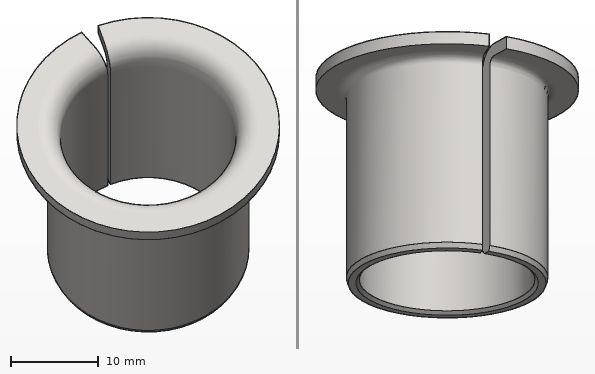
import cadquery as cq
import math

flange_radius = 15.0
height = 25.0
bore_radius = 10.0
wall = 1.5
bend_inner_radius = 1.0
outer_chamfer_height = 0.63
outer_chamfer_angle = 20.0
inner_chamfer = 0.4
slit_half_angle = 10.0
slit_half_gap = 0.18

tube_radius = bore_radius + wall
bend_outer_radius = bend_inner_radius + wall
bend_center_r = bore_radius + bend_outer_radius
bend_center_z = height - bend_outer_radius
outer_chamfer_width = outer_chamfer_height * math.tan(math.radians(outer_chamfer_angle))


def bend_midpoint(radius):
    """Middle of a quarter bend of the given radius about the common bend center."""
    offset = radius * math.sqrt(0.5)
    return (bend_center_r - offset, bend_center_z + offset)


def make_bushing():
    """Revolve the bent sheet section, starting inside the slit; both bend arcs share one center."""
    return (
        cq.Workplane("XZ")
        .moveTo(bore_radius + inner_chamfer, 0)
        .lineTo(tube_radius - outer_chamfer_width, 0)
        .lineTo(tube_radius, outer_chamfer_height)
        .lineTo(tube_radius, bend_center_z)
        .threePointArc(bend_midpoint(bend_inner_radius), (bend_center_r, height - wall))
        .lineTo(flange_radius, height - wall)
        .lineTo(flange_radius, height)
        .lineTo(bend_center_r, height)
        .threePointArc(bend_midpoint(bend_outer_radius), (bore_radius, bend_center_z))
        .lineTo(bore_radius, inner_chamfer)
        .close()
        .revolve(360, (0, 0, 0), (0, 1, 0))
        .rotate((0, 0, 0), (0, 0, 1), 180)
    )


def make_slit():
    """Full-height wedge on the -X side that widens outward from its apex."""
    slope = math.tan(math.radians(slit_half_angle))
    apex_x = -bore_radius + slit_half_gap / slope
    outer_x = -flange_radius - wall
    outer_half_width = (apex_x - outer_x) * slope
    return (
        cq.Workplane("XY")
        .polyline([(apex_x, 0), (outer_x, outer_half_width), (outer_x, -outer_half_width)])
        .close()
        .extrude(height)
    )


result = make_bushing().cut(make_slit())